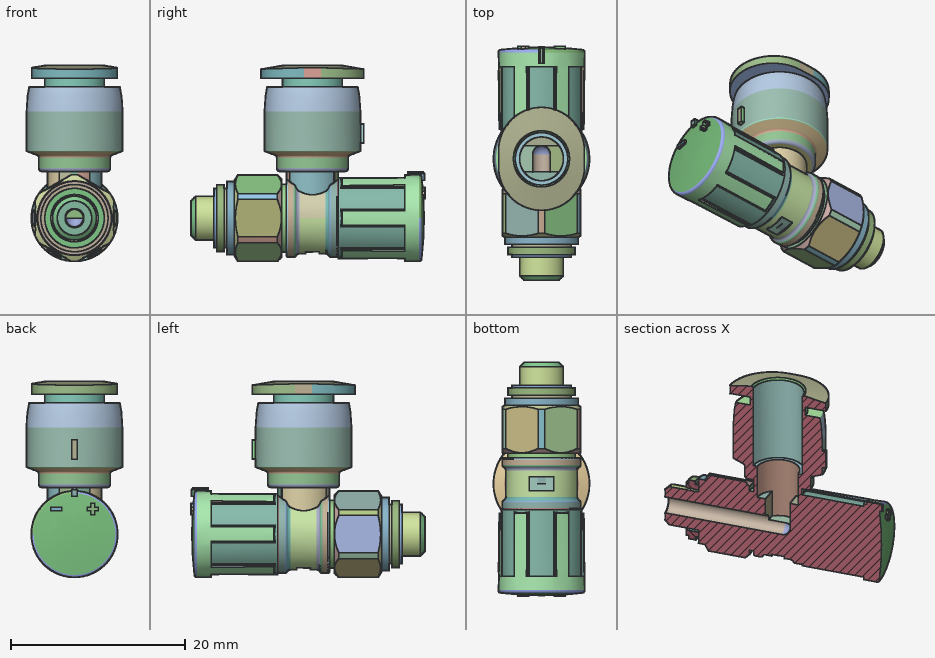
import cadquery as cq
import math


THREAD_TIP_Y = -13.9
THREAD_DIAMETER = 5.0
THREAD_CHAMFER = 0.54
BORE_DIAMETER = 2.0
BORE_CHAMFER = 0.08
SEAT_FACE_Y = -9.78
SEAT_DIAMETER = 8.4
HEX_FRONT_Y = -8.95
HEX_BACK_Y = -3.48
HEX_ACROSS_FLATS = 8.95
HEX_CORNER_DIAMETER = 9.9
HEX_FRONT_CHAMFER_LENGTH = 0.43
HEX_FRONT_CHAMFER_DEPTH = 0.7
HEX_BACK_CHAMFER_LENGTH = 0.54
HEX_BACK_CHAMFER_DEPTH = 0.54
STEM_DIAMETER = 7.77

GASKET_HOLE_DIAMETER = 5.4
GASKET_DISC_DIAMETER = 6.8
GASKET_RING_DIAMETER = 7.7
GASKET_THICKNESS = 1.5
GASKET_RING_THICKNESS = 0.85

SWIVEL_HALF_LENGTH = 2.97
FLANGE_DIAMETER = 8.95
FLANGE_FILLET = 0.2
FLANGE_INNER_Y = 2.15
WAIST_DIAMETER = 8.2
WAIST_HALF_LENGTH = 1.5
WAIST_CURVE_SHARE = 0.62
RELIEF_HALF_LENGTH = 0.78
RELIEF_Z = -3.85

HEAD_START_Y = 10.55
HEAD_END_Y = 12.45
HEAD_DIAMETER = 9.9
HEAD_FILLET = 0.32
GRIP_END_DIAMETER = 9.7
GRIP_BASE_DIAMETER = 9.25
DOME_HEIGHT = 0.32
PANEL_COUNT = 6
PANEL_WIDTH = 2.0
PANEL_START_Y = 3.21
PANEL_WALL_DRAFT = 12.0
PANEL_FOOT_BEVEL = 0.1
PANEL_FOOT_ANGLE = 45.0
POINTER_WIDTH = 0.65
POINTER_CHAMFER = 0.2
POINTER_START_Y = 10.9
POINTER_END_Y = 12.83
POINTER_TOP_Z = 5.28
POINTER_BOTTOM_Z = 4.3
SIGN_TOP_Y = 12.89
SIGN_LENGTH = 1.29
SIGN_STROKE = 0.43
SIGN_X = 2.1
SIGN_Z = 2.87

NECK_DIAMETER = 6.0
NECK_SIDE_DIAMETER = 6.22
NECK_SIDE_START_X = 1.75
COLLAR_BOTTOM_Z = 5.33
COLLAR_DIAMETER = 8.2
COLLAR_FILLET = 0.38
COLLAR_TOP_Z = 7.13
COLLAR_TOP_FILLET = 0.27
SLEEVE_BOTTOM_Z = 7.65
SLEEVE_BOTTOM_FILLET = 0.13
SLEEVE_DIAMETER = 11.0
SLEEVE_SHOULDER_Z = 12.2
SLEEVE_TOP_Z = 15.0
SLEEVE_TOP_DIAMETER = 10.4
SLEEVE_TOP_FILLET = 0.1
KEY_BOTTOM_Z = 8.57
KEY_TOP_Z = 10.77
KEY_OUTER_Y = 5.9
KEY_WIDTH = 0.65

BUTTON_NECK_DIAMETER = 6.85
BUTTON_BOTTOM_Z = 15.97
BUTTON_EDGE_Z = 17.05
BUTTON_TOP_Z = 17.5
BUTTON_WIDTH = 9.8
BUTTON_LENGTH = 11.8
MOUTH_DIAMETER = 6.43
MOUTH_CHAMFER = 0.21

TUBE_DIAMETER = 6.0
TUBE_STOP_Z = 7.23
PASSAGE_DIAMETER = 5.0
PASSAGE_FLOOR_Z = 3.21
PORT_HALF_LENGTH = 1.5

OVERSIZE = 16.07
EDGE_TOLERANCE = 0.03


def cylinder_y(diameter, start_y, end_y):
    """Cylinder on the Y axis from start_y to end_y."""
    return (
        cq.Workplane("XZ", origin=(0, start_y, 0))
        .circle(diameter / 2)
        .extrude(start_y - end_y)
    )


def cylinder_z(diameter, bottom_z, top_z):
    """Cylinder on the Z axis from bottom_z to top_z."""
    return (
        cq.Workplane("XY", origin=(0, 0, bottom_z))
        .circle(diameter / 2)
        .extrude(top_z - bottom_z)
    )


def box_between(low, high):
    """Axis-aligned box spanning two opposite corners."""
    size = [b - a for a, b in zip(low, high)]
    return cq.Workplane("XY").box(*size, centered=False).translate(tuple(low))


def revolve(profile):
    """Full turn of an outline about the vertical axis of its workplane: Y on "XY", Z on "XZ"."""
    return profile.close().revolve(360, (0, 0, 0), (0, 1, 0))


def edges_at_y(y):
    """Selector for the edges that lie wholly in the plane at y."""
    low = (-OVERSIZE, y - EDGE_TOLERANCE, -OVERSIZE)
    high = (OVERSIZE, y + EDGE_TOLERANCE, OVERSIZE)
    return cq.selectors.BoxSelector(low, high, boundingbox=True)


def edges_at_z(z):
    """Selector for the edges that lie wholly in the plane at z."""
    low = (-OVERSIZE, -OVERSIZE, z - EDGE_TOLERANCE)
    high = (OVERSIZE, OVERSIZE, z + EDGE_TOLERANCE)
    return cq.selectors.BoxSelector(low, high, boundingbox=True)


def make_thread_end():
    """Chamfered thread, gasket seat and the stem that runs into the swivel body."""
    thread = cylinder_y(THREAD_DIAMETER, THREAD_TIP_Y, SEAT_FACE_Y).faces("<Y").chamfer(THREAD_CHAMFER)
    seat = cylinder_y(SEAT_DIAMETER, SEAT_FACE_Y, HEX_FRONT_Y)
    stem = cylinder_y(STEM_DIAMETER, HEX_BACK_Y, 0)
    return thread.union(seat).union(stem)


def make_hexagon():
    """Hexagon with corners up and down, its corners turned round and chamfered at both ends."""
    corner_radius = HEX_CORNER_DIAMETER / 2
    prism = (
        cq.Workplane("XZ", origin=(0, HEX_FRONT_Y, 0))
        .polygon(6, HEX_ACROSS_FLATS / math.cos(math.pi / 6))
        .extrude(HEX_FRONT_Y - HEX_BACK_Y)
        .rotate((0, 0, 0), (0, 1, 0), 30)
    )
    turned = revolve(
        cq.Workplane("XY")
        .moveTo(0, HEX_FRONT_Y)
        .lineTo(corner_radius - HEX_FRONT_CHAMFER_DEPTH, HEX_FRONT_Y)
        .lineTo(corner_radius, HEX_FRONT_Y + HEX_FRONT_CHAMFER_LENGTH)
        .lineTo(corner_radius, HEX_BACK_Y - HEX_BACK_CHAMFER_LENGTH)
        .lineTo(corner_radius - HEX_BACK_CHAMFER_DEPTH, HEX_BACK_Y)
        .lineTo(0, HEX_BACK_Y)
    )
    return prism.intersect(turned)


def make_swivel_body():
    """Waisted barrel with a flange at each end and a shallow flat relief underneath."""
    waist = WAIST_DIAMETER / 2
    flange = FLANGE_DIAMETER / 2
    middle_y = WAIST_HALF_LENGTH + WAIST_CURVE_SHARE * (FLANGE_INNER_Y - WAIST_HALF_LENGTH)
    middle_radius = waist + WAIST_CURVE_SHARE * (flange - waist)
    half = revolve(
        cq.Workplane("XY")
        .lineTo(waist, 0)
        .lineTo(waist, WAIST_HALF_LENGTH)
        .tangentArcPoint((middle_radius, middle_y), relative=False)
        .tangentArcPoint((flange, FLANGE_INNER_Y), relative=False)
        .lineTo(flange, SWIVEL_HALF_LENGTH)
        .lineTo(0, SWIVEL_HALF_LENGTH)
    )
    half = half.edges(edges_at_y(SWIVEL_HALF_LENGTH)).fillet(FLANGE_FILLET)
    barrel = half.union(half.mirror("XZ"))
    relief = box_between(
        (-OVERSIZE, -RELIEF_HALF_LENGTH, -OVERSIZE),
        (OVERSIZE, RELIEF_HALF_LENGTH, RELIEF_Z),
    )
    return barrel.cut(relief)


def make_knob_envelope():
    """Tapered outer form of the knob with a domed end, shared by the head and the grip panels."""
    end_radius = GRIP_END_DIAMETER / 2
    head_radius = HEAD_DIAMETER / 2
    dome_radius = (head_radius**2 + DOME_HEIGHT**2) / (2 * DOME_HEIGHT)
    turned = revolve(
        cq.Workplane("XY")
        .moveTo(0, SWIVEL_HALF_LENGTH)
        .lineTo(end_radius, SWIVEL_HALF_LENGTH)
        .lineTo(head_radius, HEAD_END_Y)
        .radiusArc((0, HEAD_END_Y + DOME_HEIGHT), -dome_radius)
    )
    return turned.edges(edges_at_y(HEAD_END_Y)).fillet(HEAD_FILLET)


def make_grip_panel(angle):
    """Raised grip panel with drafted walls on a bevelled foot, turned by an angle about the Y axis."""
    foot_x = math.sqrt((GRIP_BASE_DIAMETER / 2) ** 2 - (PANEL_WIDTH / 2) ** 2)
    height = HEAD_DIAMETER / 2 - foot_x + PANEL_FOOT_BEVEL
    length = HEAD_END_Y - PANEL_START_Y
    plane = cq.Workplane("YZ", origin=(foot_x, PANEL_START_Y + length / 2, 0))
    foot = plane.rect(length, PANEL_WIDTH).extrude(PANEL_FOOT_BEVEL, taper=PANEL_FOOT_ANGLE)
    walls = plane.rect(length - 2 * PANEL_FOOT_BEVEL, PANEL_WIDTH - 2 * PANEL_FOOT_BEVEL).extrude(
        height, taper=PANEL_WALL_DRAFT
    )
    return foot.union(walls).rotate((0, 0, 0), (0, 1, 0), angle)


def make_grip_valleys():
    """Space around the grip core that is left between the panels."""
    valleys = cylinder_y(OVERSIZE, SWIVEL_HALF_LENGTH, HEAD_START_Y).cut(
        cylinder_y(GRIP_BASE_DIAMETER, SWIVEL_HALF_LENGTH, HEAD_START_Y)
    )
    for index in range(PANEL_COUNT):
        valleys = valleys.cut(make_grip_panel(index * 360 / PANEL_COUNT))
    return valleys


def make_pointer():
    """Chamfered rib on top of the knob head that turns down over its end face."""
    half = POINTER_WIDTH / 2
    return box_between(
        (-half, POINTER_START_Y, POINTER_BOTTOM_Z),
        (half, POINTER_END_Y, POINTER_TOP_Z),
    ).faces(">Z").edges("|Y or >Y").chamfer(POINTER_CHAMFER)


def make_sign_bar(center_x, size_x, size_z):
    """Raised bar on the knob end face."""
    return box_between(
        (center_x - size_x / 2, HEAD_END_Y - HEAD_FILLET, SIGN_Z - size_z / 2),
        (center_x + size_x / 2, SIGN_TOP_Y, SIGN_Z + size_z / 2),
    )


def make_knob():
    """Knob: domed head, grip with raised panels, pointer, and plus and minus signs."""
    knob = make_knob_envelope().cut(make_grip_valleys()).union(make_pointer())
    knob = knob.union(make_sign_bar(-SIGN_X, SIGN_LENGTH, SIGN_STROKE))
    knob = knob.union(make_sign_bar(-SIGN_X, SIGN_STROKE, SIGN_LENGTH))
    return knob.union(make_sign_bar(SIGN_X, SIGN_LENGTH, SIGN_STROKE))


def make_neck():
    """Round neck under the socket, slightly larger on its two X sides, flush with the flange ends."""
    core = cylinder_z(NECK_DIAMETER, 0, COLLAR_TOP_Z)
    middle = box_between(
        (-NECK_SIDE_START_X, -OVERSIZE, 0),
        (NECK_SIDE_START_X, OVERSIZE, OVERSIZE),
    )
    sides = cylinder_z(NECK_SIDE_DIAMETER, 0, COLLAR_BOTTOM_Z).cut(middle)
    between_flange_ends = box_between(
        (-OVERSIZE, -SWIVEL_HALF_LENGTH, 0),
        (OVERSIZE, SWIVEL_HALF_LENGTH, OVERSIZE),
    )
    return core.union(sides).intersect(between_flange_ends)


def make_sleeve():
    """Collar and sleeve of the tube socket, turned as one shape, with its key on the +Y side."""
    collar = COLLAR_DIAMETER / 2
    sleeve = SLEEVE_DIAMETER / 2
    top = SLEEVE_TOP_DIAMETER / 2
    turned = revolve(
        cq.Workplane("XZ")
        .moveTo(0, COLLAR_BOTTOM_Z)
        .lineTo(collar, COLLAR_BOTTOM_Z)
        .lineTo(collar, COLLAR_TOP_Z)
        .lineTo(sleeve, SLEEVE_BOTTOM_Z)
        .lineTo(sleeve, SLEEVE_SHOULDER_Z)
        .tangentArcPoint((top, SLEEVE_TOP_Z), relative=False)
        .lineTo(0, SLEEVE_TOP_Z)
    )
    turned = turned.edges(edges_at_z(COLLAR_BOTTOM_Z)).fillet(COLLAR_FILLET)
    turned = turned.edges(edges_at_z(SLEEVE_TOP_Z)).fillet(SLEEVE_TOP_FILLET)
    turned = turned.edges(edges_at_z(COLLAR_TOP_Z)).fillet(COLLAR_TOP_FILLET)
    turned = turned.edges(edges_at_z(SLEEVE_BOTTOM_Z)).fillet(SLEEVE_BOTTOM_FILLET)
    key = box_between(
        (-KEY_WIDTH / 2, 0, KEY_BOTTOM_Z),
        (KEY_WIDTH / 2, KEY_OUTER_Y, KEY_TOP_Z),
    )
    return turned.union(key)


def make_button():
    """Release button: a round neck under an oval rim with a conical top."""
    neck = cylinder_z(BUTTON_NECK_DIAMETER, SLEEVE_SHOULDER_Z, BUTTON_BOTTOM_Z)
    oval = (
        cq.Workplane("XY", origin=(0, 0, BUTTON_BOTTOM_Z))
        .slot2D(BUTTON_LENGTH, BUTTON_WIDTH, 90)
        .extrude(BUTTON_TOP_Z - BUTTON_BOTTOM_Z)
    )
    cone = revolve(
        cq.Workplane("XZ")
        .moveTo(0, BUTTON_BOTTOM_Z)
        .lineTo(BUTTON_LENGTH / 2, BUTTON_BOTTOM_Z)
        .lineTo(BUTTON_LENGTH / 2, BUTTON_EDGE_Z)
        .lineTo(MOUTH_DIAMETER / 2, BUTTON_TOP_Z)
        .lineTo(0, BUTTON_TOP_Z)
    )
    return neck.union(oval.intersect(cone))


def make_socket_bore():
    """Stepped opening down the Z axis: chamfered mouth, tube bore, passage and port."""
    tube = cylinder_z(TUBE_DIAMETER, TUBE_STOP_Z, BUTTON_TOP_Z)
    mouth = revolve(
        cq.Workplane("XZ")
        .moveTo(0, BUTTON_TOP_Z - MOUTH_CHAMFER)
        .lineTo(TUBE_DIAMETER / 2, BUTTON_TOP_Z - MOUTH_CHAMFER)
        .lineTo(MOUTH_DIAMETER / 2, BUTTON_TOP_Z)
        .lineTo(0, BUTTON_TOP_Z)
    )
    passage = cylinder_z(PASSAGE_DIAMETER, PASSAGE_FLOOR_Z, TUBE_STOP_Z)
    port = cylinder_z(PASSAGE_DIAMETER, 0, PASSAGE_FLOOR_Z).intersect(
        box_between((-OVERSIZE, -PORT_HALF_LENGTH, 0), (OVERSIZE, PORT_HALF_LENGTH, OVERSIZE))
    )
    return tube.union(mouth).union(passage).union(port)


def make_thread_bore():
    """Bore along the thread with a chamfered entry and a ball end under the port."""
    radius = BORE_DIAMETER / 2
    ball_center_y = PORT_HALF_LENGTH - radius
    return revolve(
        cq.Workplane("XY")
        .moveTo(0, THREAD_TIP_Y)
        .lineTo(radius + BORE_CHAMFER, THREAD_TIP_Y)
        .lineTo(radius, THREAD_TIP_Y + BORE_CHAMFER)
        .lineTo(radius, ball_center_y)
        .tangentArcPoint((0, PORT_HALF_LENGTH), relative=False)
    )


def make_fitting():
    """The fitting with its thread, hexagon, swivel body, knob, socket and passages."""
    fitting = make_thread_end().union(make_hexagon()).union(make_swivel_body()).union(make_knob())
    fitting = fitting.union(make_neck()).union(make_sleeve()).union(make_button())
    return fitting.cut(make_socket_bore()).cut(make_thread_bore())


def make_gasket():
    """Flat gasket with a wider middle ring, lying against the seat with clearance to the thread."""
    front_y = SEAT_FACE_Y - GASKET_THICKNESS
    step = (GASKET_THICKNESS - GASKET_RING_THICKNESS) / 2
    disc = cylinder_y(GASKET_DISC_DIAMETER, front_y, SEAT_FACE_Y)
    ring = cylinder_y(GASKET_RING_DIAMETER, front_y + step, SEAT_FACE_Y - step)
    hole = cylinder_y(GASKET_HOLE_DIAMETER, front_y, SEAT_FACE_Y)
    return disc.union(ring).cut(hole)


fitting = make_fitting()
gasket = make_gasket()

result = cq.Compound.makeCompound([fitting.val(), gasket.val()])